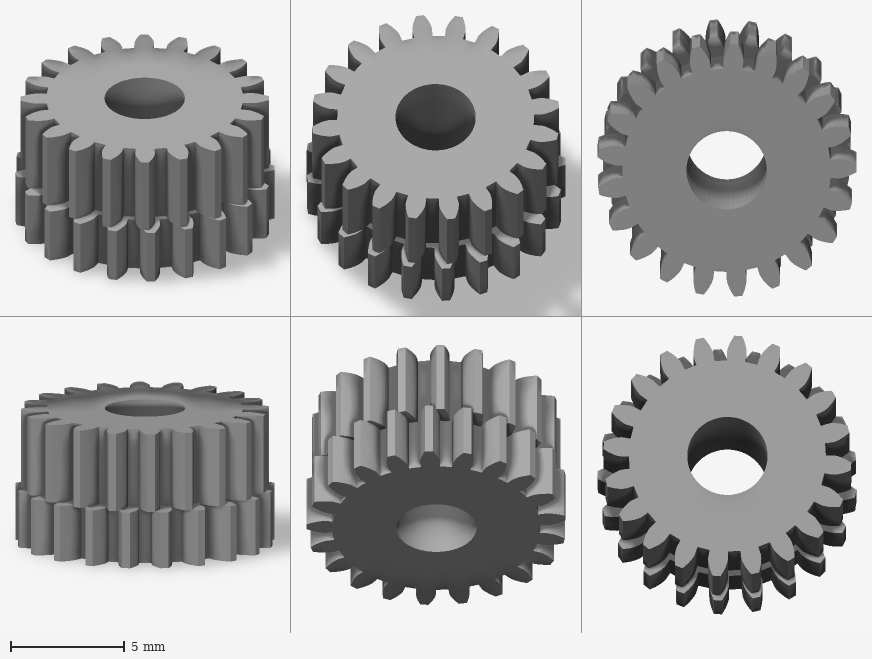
import cadquery as cq
import math

pressure_angle = math.radians(20)
bore_diameter = 3.55
flank_steps = 8

lower_teeth = 21
lower_pitch_diameter = 10.47
lower_root_radius = 4.6
lower_height = 2.5
lower_half_width = 5.72

upper_teeth = 20
upper_pitch_diameter = lower_pitch_diameter * upper_teeth / lower_teeth
upper_tip_radius = 5.48
upper_root_radius = 4.35
upper_height = 3.49


def involute(angle):
    """Involute function, in radians."""
    return math.tan(angle) - angle


def polar(radius, angle):
    """XY point at a radius and an angle from +X."""
    return (radius * math.cos(angle), radius * math.sin(angle))


def base_radius(pitch_diameter):
    """Radius of the circle that the involute flanks unwind from."""
    return pitch_diameter / 2 * math.cos(pressure_angle)


def half_tooth_angle(teeth, pitch_diameter, radius):
    """Half the angle that a tooth fills at a radius on its involute flank."""
    flank_angle = math.acos(base_radius(pitch_diameter) / radius)
    return math.pi / (2 * teeth) + involute(pressure_angle) - involute(flank_angle)


def flank_points(teeth, pitch_diameter, tip_radius):
    """Points from the base circle to the tip, evenly spaced in roll angle, as (radius, half angle)."""
    base = base_radius(pitch_diameter)
    tip_roll = math.sqrt((tip_radius / base) ** 2 - 1)
    points = []
    for step in range(flank_steps + 1):
        radius = base * math.hypot(1, tip_roll * step / flank_steps)
        points.append((radius, half_tooth_angle(teeth, pitch_diameter, radius)))
    return points


def gear(teeth, pitch_diameter, tip_radius, root_radius, height, bottom):
    """Bored spur gear with flat tooth tips and flat roots, one tooth pointing along +X."""
    flank = flank_points(teeth, pitch_diameter, tip_radius)
    root_half_angle = flank[0][1]
    outline = cq.Workplane("XY", origin=(0, 0, bottom)).moveTo(*polar(root_radius, -root_half_angle))
    for tooth in range(teeth):
        centre = 2 * math.pi * tooth / teeth
        rising = [polar(radius, centre - half_angle) for radius, half_angle in flank]
        falling = [polar(radius, centre + half_angle) for radius, half_angle in reversed(flank)]
        if tooth > 0:
            outline = outline.lineTo(*polar(root_radius, centre - root_half_angle))
        outline = outline.lineTo(*rising[0])
        outline = outline.spline(rising[1:], includeCurrent=True)
        outline = outline.lineTo(*falling[0])
        outline = outline.spline(falling[1:], includeCurrent=True)
        outline = outline.lineTo(*polar(root_radius, centre + root_half_angle))
    blank = outline.close().extrude(height)
    bore = cq.Workplane("XY", origin=(0, 0, bottom)).circle(bore_diameter / 2).extrude(height)
    return blank.cut(bore)


quarter_pitch = math.pi / (2 * lower_teeth)
tip_half_angle = half_tooth_angle(lower_teeth, lower_pitch_diameter, lower_half_width)
lower_tip_radius = lower_half_width / math.cos(quarter_pitch - tip_half_angle)

lower_gear = gear(
    lower_teeth, lower_pitch_diameter, lower_tip_radius, lower_root_radius, lower_height, 0
)
upper_gear = gear(
    upper_teeth, upper_pitch_diameter, upper_tip_radius, upper_root_radius, upper_height, lower_height
)

result = cq.Compound.makeCompound([lower_gear.val(), upper_gear.val()])